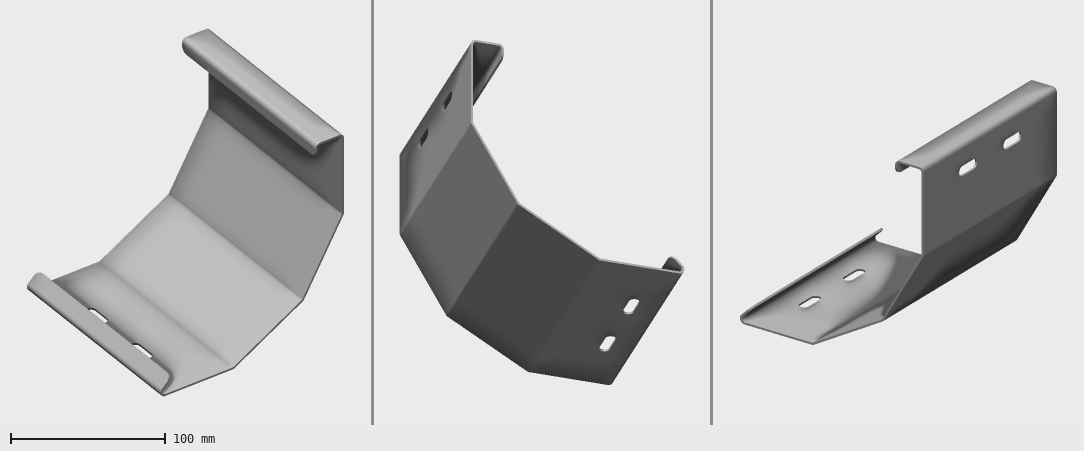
import cadquery as cq
import math

length = 150.0
depth = 145.0
height = 150.0
sheet = 1.5
panel_bend = 30.0
panel_width = 63.9
bend_radius = 3.8
flange_depth = 22.5
top_lip_drop = 10.0
bottom_lip_angle = 45.0
bottom_lip_length = 10.6
lip_corner_radius = 5.0
slot_length = 20.0
slot_width = 7.0
slot_spacing = 49.8
back_slot_inset = 18.8
bottom_slot_inset = 20.0

back_y = depth / 2
front_y = -depth / 2
top_z = height / 2
bottom_z = -height / 2
inner_radius = bend_radius - sheet

long_run = panel_width * math.cos(math.radians(panel_bend))
short_run = panel_width * math.sin(math.radians(panel_bend))
wall_bend = (back_y, bottom_z + short_run + long_run)
middle_bend = (back_y - short_run, bottom_z + short_run)
floor_bend = (back_y - short_run - long_run, bottom_z)

wall_normal = 180 - panel_bend / 2
middle_normal = 135
floor_normal = 90 + panel_bend / 2


def polar(center, radius, degrees):
    """Point at an angle from +Y toward +Z around a center in the YZ plane."""
    angle = math.radians(degrees)
    return (center[0] + radius * math.cos(angle), center[1] + radius * math.sin(angle))


def inner_corner(corner, normal_degrees):
    """Corner moved inward by the sheet thickness, along the bisecting normal."""
    miter = sheet / math.cos(math.radians(panel_bend / 2))
    return polar(corner, miter, normal_degrees)


def make_sheet():
    """Bent sheet: bottom hook, floor, two sloping panels, back wall and top hook."""
    back_center = (back_y - bend_radius, top_z - bend_radius)
    lip_center = (back_y - flange_depth + bend_radius, top_z - bend_radius)
    low_center = (front_y + bend_radius, bottom_z + bend_radius)
    top_lip_z = top_z - top_lip_drop
    lip_normal = 90 + bottom_lip_angle
    low_mid = (lip_normal + 270) / 2
    outer_tip = polar(polar(low_center, bend_radius, lip_normal), bottom_lip_length, bottom_lip_angle)
    inner_tip = polar(polar(low_center, inner_radius, lip_normal), bottom_lip_length, bottom_lip_angle)

    profile = (
        cq.Workplane("YZ")
        .moveTo(lip_center[0] - bend_radius, top_lip_z)
        .lineTo(*polar(lip_center, bend_radius, 180))
        .threePointArc(polar(lip_center, bend_radius, 135), polar(lip_center, bend_radius, 90))
        .lineTo(*polar(back_center, bend_radius, 90))
        .threePointArc(polar(back_center, bend_radius, 45), polar(back_center, bend_radius, 0))
        .lineTo(*wall_bend)
        .lineTo(*middle_bend)
        .lineTo(*floor_bend)
        .lineTo(*polar(low_center, bend_radius, 270))
        .threePointArc(polar(low_center, bend_radius, low_mid), polar(low_center, bend_radius, lip_normal))
        .lineTo(*outer_tip)
        .lineTo(*inner_tip)
        .lineTo(*polar(low_center, inner_radius, lip_normal))
        .threePointArc(polar(low_center, inner_radius, low_mid), polar(low_center, inner_radius, 270))
        .lineTo(*inner_corner(floor_bend, floor_normal))
        .lineTo(*inner_corner(middle_bend, middle_normal))
        .lineTo(*inner_corner(wall_bend, wall_normal))
        .lineTo(*polar(back_center, inner_radius, 0))
        .threePointArc(polar(back_center, inner_radius, 45), polar(back_center, inner_radius, 90))
        .lineTo(*polar(lip_center, inner_radius, 90))
        .threePointArc(polar(lip_center, inner_radius, 135), polar(lip_center, inner_radius, 180))
        .lineTo(lip_center[0] - inner_radius, top_lip_z)
        .close()
    )
    return profile.extrude(length / 2, both=True)


def round_lip_corners(body):
    """Round the four free corners of the two lips."""
    corners = [
        edge for edge in body.edges("#X").vals()
        if edge.geomType() == "LINE" and math.isclose(edge.Length(), sheet, rel_tol=1e-4)
    ]
    return body.newObject(corners).fillet(lip_corner_radius)


def round_panel_bends(body):
    """Round the three panel bends with concentric inner and outer radii."""
    bends = [(wall_bend, wall_normal), (middle_bend, middle_normal), (floor_bend, floor_normal)]
    for corner, normal_degrees in bends:
        inner_point = inner_corner(corner, normal_degrees)
        body = body.edges(cq.selectors.NearestToPointSelector((0, *corner))).fillet(bend_radius)
        body = body.edges(cq.selectors.NearestToPointSelector((0, *inner_point))).fillet(inner_radius)
    return body


def slot_pair(plane, origin):
    """Two slot cutters, side by side along X, crossing the sheet."""
    return (
        cq.Workplane(plane, origin=origin)
        .pushPoints([(-slot_spacing / 2, 0), (slot_spacing / 2, 0)])
        .slot2D(slot_length, slot_width)
        .extrude(2 * sheet, both=True)
    )


result = round_panel_bends(make_sheet())
result = round_lip_corners(result)
result = result.cut(slot_pair("XZ", (0, back_y, top_z - back_slot_inset)))
result = result.cut(slot_pair("XY", (0, front_y + bottom_slot_inset, bottom_z)))